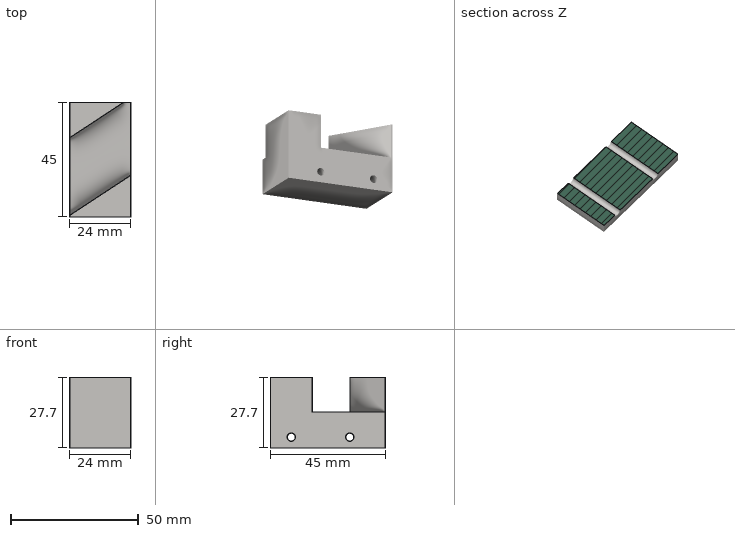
import cadquery as cq
import math

WIDTH = 24.0
LENGTH = 45.0
HEIGHT = 27.7

CHANNEL_FLOOR = 14.2
CHANNEL_ANGLE = 33.3
CHANNEL_FRONT_START = 0.7
CHANNEL_BACK_START = 31.1

HOLE_DIAMETER = 3.1
HOLE_HEIGHT = 4.3
HOLE_POSITIONS = (8.2, 31.1)


def make_block():
    """Plain block with one corner at the origin."""
    return cq.Workplane("XY").box(WIDTH, LENGTH, HEIGHT, centered=False)


def make_channel():
    """Oblique slot that runs from face X = 0 to face X = WIDTH, open at the top."""
    rise = WIDTH * math.tan(math.radians(CHANNEL_ANGLE))
    corners = [
        (0, CHANNEL_FRONT_START),
        (WIDTH, CHANNEL_FRONT_START + rise),
        (WIDTH, CHANNEL_BACK_START + rise),
        (0, CHANNEL_BACK_START),
    ]
    return (
        cq.Workplane("XY")
        .workplane(offset=CHANNEL_FLOOR)
        .polyline(corners)
        .close()
        .extrude(HEIGHT - CHANNEL_FLOOR)
    )


def make_cross_holes():
    """Round holes through the full width of the base."""
    centers = [(y, HOLE_HEIGHT) for y in HOLE_POSITIONS]
    return (
        cq.Workplane("YZ")
        .pushPoints(centers)
        .circle(HOLE_DIAMETER / 2)
        .extrude(WIDTH)
    )


result = make_block().cut(make_channel()).cut(make_cross_holes())